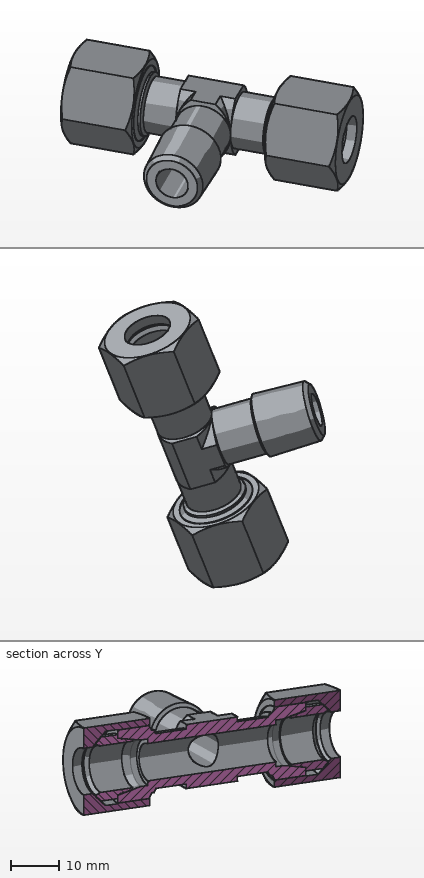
import cadquery as cq
import math

PIPE_R = 6.0
RUN_BORE_R = 4.0
TUBE_R = 5.0
TUBE_STOP_X = 15.0
RUN_END_X = 22.0

THREAD_R = 8.0
UNDERCUT_R = 6.8
UNDERCUT_START_X = 13.5
UNDERCUT_END_X = 14.0
THREAD_FLANK_ANGLE = math.radians(60)
SEAT_ANGLE = math.radians(12)
SEAT_MOUTH_R = 6.15

BLOCK_HALF_WIDTH = PIPE_R
BLOCK_HALF_HEIGHT = 7.0
BLOCK_FLAT_HALF_WIDTH = 2.7

BRANCH_LENGTH = 27.0
BRANCH_BORE_R = 3.5
TAPER_START = 15.0
GAUGE_PLANE = 22.5
GAUGE_R = 13.157 / 2
TAPER_SLOPE = 1 / 32
TAPER_BACK_CHAMFER = 0.5
BRANCH_END_CHAMFER = 0.9

NUT_ACROSS_FLATS = 19.0
NUT_OUTER_X = 30.0
NUT_LENGTH = 15.5
NUT_INNER_X = NUT_OUTER_X - NUT_LENGTH
NUT_BORE_DEPTH = 2.2
NUT_CHAMFER_ANGLE = math.radians(30)
NUT_FACE_R = NUT_ACROSS_FLATS / 2 - 0.1

RING_OUTER_X = 27.1
RING_MOUTH_LENGTH = 1.0
RING_MOUTH_R = 5.5
RING_SHOULDER_R = 7.0
RING_TIP_X = 18.5


def revolve_about_x(points):
    """Solid of revolution from (x, radius) points."""
    return cq.Workplane("XY").polyline(points).close().revolve(360, (0, 0, 0), (1, 0, 0))


def both_ends(part):
    """The part and its copy turned half round the Z axis to the other end of the run."""
    return [part.rotate((0, 0, 0), (0, 0, 1), angle) for angle in (0, 180)]


def seat_radius(x):
    """Radius of the sealing cone at a place along the run."""
    return SEAT_MOUTH_R - (RUN_END_X - x) * math.tan(SEAT_ANGLE)


def taper_radius(distance):
    """Radius of the branch thread at a distance from the run axis."""
    return GAUGE_R + (GAUGE_PLANE - distance) * TAPER_SLOPE


def block_profile(plane):
    """Flat top and bottom, joined by side arcs that are tangent to the neck at mid height."""
    side = BLOCK_HALF_WIDTH
    flat = BLOCK_FLAT_HALF_WIDTH
    top = BLOCK_HALF_HEIGHT
    return (
        cq.Workplane(plane)
        .moveTo(-flat, top)
        .lineTo(flat, top)
        .threePointArc((side, 0), (flat, -top))
        .lineTo(-flat, -top)
        .threePointArc((-side, 0), (-flat, top))
        .close()
    )


def make_block():
    run_prism = block_profile("YZ").extrude(BLOCK_HALF_WIDTH, both=True)
    branch_prism = block_profile("XZ").extrude(BLOCK_HALF_WIDTH)
    return run_prism.union(branch_prism)


def make_run_end():
    neck_flank = (UNDERCUT_R - PIPE_R) / math.tan(THREAD_FLANK_ANGLE)
    flank_end_x = UNDERCUT_END_X + (THREAD_R - UNDERCUT_R) / math.tan(THREAD_FLANK_ANGLE)
    return revolve_about_x([
        (0, 0),
        (0, PIPE_R),
        (UNDERCUT_START_X - neck_flank, PIPE_R),
        (UNDERCUT_START_X, UNDERCUT_R),
        (UNDERCUT_END_X, UNDERCUT_R),
        (flank_end_x, THREAD_R),
        (RUN_END_X, THREAD_R),
        (RUN_END_X, 0),
    ])


def make_run_socket():
    seat_start_x = RUN_END_X - (SEAT_MOUTH_R - TUBE_R) / math.tan(SEAT_ANGLE)
    return revolve_about_x([
        (0, 0),
        (0, RUN_BORE_R),
        (TUBE_STOP_X, RUN_BORE_R),
        (TUBE_STOP_X, TUBE_R),
        (seat_start_x, TUBE_R),
        (RUN_END_X, SEAT_MOUTH_R),
        (RUN_END_X, 0),
    ])


def make_branch():
    end_taper = BRANCH_LENGTH - BRANCH_END_CHAMFER
    points = [
        (0, 0),
        (PIPE_R, 0),
        (PIPE_R, -TAPER_START + TAPER_BACK_CHAMFER),
        (taper_radius(TAPER_START), -TAPER_START),
        (taper_radius(end_taper), -end_taper),
        (taper_radius(end_taper) - BRANCH_END_CHAMFER, -BRANCH_LENGTH),
        (0, -BRANCH_LENGTH),
    ]
    return cq.Workplane("XY").polyline(points).close().revolve(360, (0, 0, 0), (0, 1, 0))


def make_tee():
    tee = make_block().union(make_branch())
    for run_end in both_ends(make_run_end()):
        tee = tee.union(run_end)
    for socket in both_ends(make_run_socket()):
        tee = tee.cut(socket)
    branch_bore = cq.Workplane("XZ").circle(BRANCH_BORE_R).extrude(BRANCH_LENGTH)
    return tee.cut(branch_bore)


def make_nut():
    corner_r = NUT_ACROSS_FLATS / math.sqrt(3)
    chamfer_length = (corner_r - NUT_FACE_R) * math.tan(NUT_CHAMFER_ANGLE)
    hexagon = (
        cq.Workplane("YZ", origin=(NUT_INNER_X, 0, 0))
        .polygon(6, 2 * corner_r)
        .extrude(NUT_LENGTH)
    )
    chamfered_envelope = revolve_about_x([
        (NUT_INNER_X, 0),
        (NUT_INNER_X, NUT_FACE_R),
        (NUT_INNER_X + chamfer_length, corner_r),
        (NUT_OUTER_X - chamfer_length, corner_r),
        (NUT_OUTER_X, NUT_FACE_R),
        (NUT_OUTER_X, 0),
    ])
    bore_end_x = NUT_OUTER_X - NUT_BORE_DEPTH
    cavity = revolve_about_x([
        (NUT_INNER_X, 0),
        (NUT_INNER_X, THREAD_R),
        (bore_end_x - (THREAD_R - TUBE_R), THREAD_R),
        (bore_end_x, TUBE_R),
        (NUT_OUTER_X, TUBE_R),
        (NUT_OUTER_X, 0),
    ])
    return hexagon.intersect(chamfered_envelope).cut(cavity)


def make_ring():
    nut_cone_tip_x = NUT_OUTER_X - NUT_BORE_DEPTH + TUBE_R
    return revolve_about_x([
        (RING_TIP_X, TUBE_R),
        (RING_TIP_X, seat_radius(RING_TIP_X)),
        (RUN_END_X, SEAT_MOUTH_R),
        (RUN_END_X, RING_SHOULDER_R),
        (nut_cone_tip_x - RING_SHOULDER_R, RING_SHOULDER_R),
        (RING_OUTER_X, nut_cone_tip_x - RING_OUTER_X),
        (RING_OUTER_X, RING_MOUTH_R),
        (RING_OUTER_X - RING_MOUTH_LENGTH, TUBE_R),
    ])


tee_body = make_tee()
union_nuts = both_ends(make_nut())
cutting_rings = both_ends(make_ring())

result = cq.Compound.makeCompound([
    tee_body.val(),
    *[nut.val() for nut in union_nuts],
    *[ring.val() for ring in cutting_rings],
])